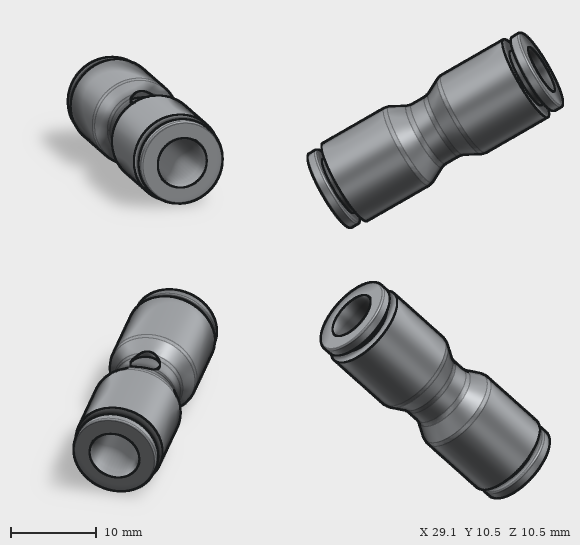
import cadquery as cq

overall_length = 29.08
body_length = 24.78
body_radius = 5.25
bore_radius = 3.0

waist_radius = 4.0
waist_half_length = 1.22
cone_outer_x = 3.64
waist_fillet = 1.3
shoulder_fillet = 1.13

neck_radius = 3.64
flange_radius = 5.0
flange_width = 1.25
flange_fillet = 0.2

flat_radius = 1.75
flat_height = 3.52

half_body = body_length / 2
half_length = overall_length / 2


def make_body():
    """Turned body whose waist and shoulder corners are rounded."""
    body = (
        cq.Workplane("XY")
        .moveTo(-half_body, 0)
        .lineTo(half_body, 0)
        .lineTo(half_body, -body_radius)
        .lineTo(cone_outer_x, -body_radius)
        .lineTo(waist_half_length, -waist_radius)
        .lineTo(-waist_half_length, -waist_radius)
        .lineTo(-cone_outer_x, -body_radius)
        .lineTo(-half_body, -body_radius)
        .close()
        .revolve(360, (0, 0, 0), (1, 0, 0))
    )
    body = round_corner_pair(body, waist_half_length, waist_fillet)
    return round_corner_pair(body, cone_outer_x, shoulder_fillet)


def round_corner_pair(solid, corner_x, radius):
    """Fillet the circular edges centred on the axis at +corner_x and -corner_x."""
    tolerance = 0.003

    def is_corner(edge):
        circular = edge.geomType() == "CIRCLE"
        return circular and abs(abs(edge.arcCenter().x) - corner_x) < tolerance

    return solid.edges().filter(is_corner).fillet(radius)


def make_collar():
    """Neck and flange at the +X end."""
    neck = (
        cq.Workplane("YZ", origin=(half_body, 0, 0))
        .circle(neck_radius)
        .extrude(half_length - half_body)
    )
    flange = (
        cq.Workplane("YZ", origin=(half_length - flange_width, 0, 0))
        .circle(flange_radius)
        .extrude(flange_width)
        .edges("%CIRCLE")
        .fillet(flange_fillet)
    )
    return neck.union(flange)


def make_flat_cutter():
    """Vertical cylinder that sinks the round flat into the waist."""
    return (
        cq.Workplane("XY", origin=(0, 0, flat_height))
        .circle(flat_radius)
        .extrude(body_radius - flat_height)
    )


def make_bore():
    """Straight bore through the whole coupling."""
    return (
        cq.Workplane("YZ", origin=(-half_length, 0, 0))
        .circle(bore_radius)
        .extrude(overall_length)
    )


collar = make_collar()
outside = make_body().union(collar).union(collar.mirror("YZ"))
result = outside.cut(make_flat_cutter()).cut(make_bore())